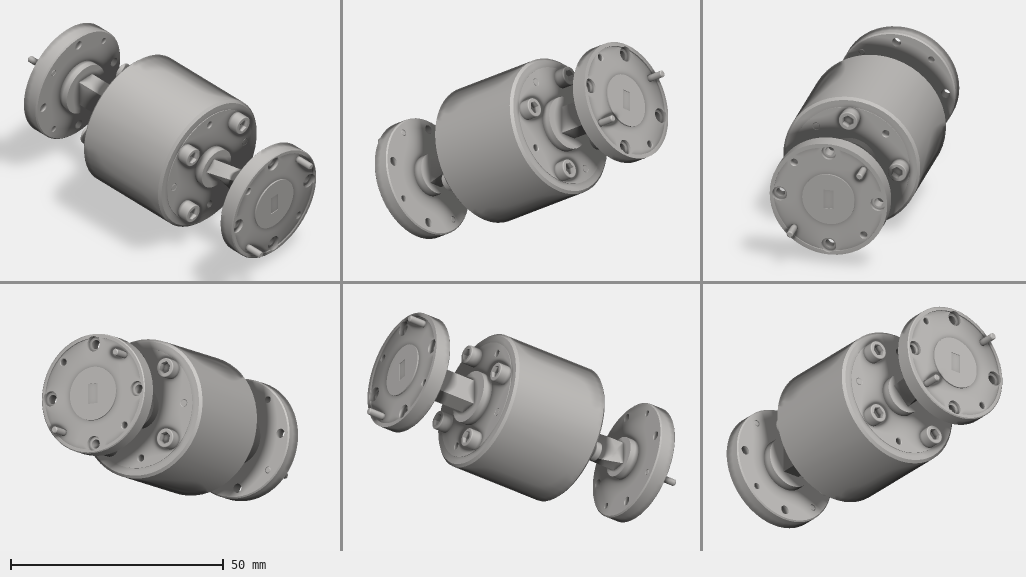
import cadquery as cq
import math

total_length = 75.9
mid_x = total_length / 2

housing_diameter = 33.25
housing_length = 25.4
housing_chamfer = 0.6

flange_diameter = 28.55
flange_thickness = 4.1
flange_chamfer = 0.3
inner_flange_proud = 0.15
bolt_circle_radius = 11.9

rim_inner_radius = 13.3
center_land_radius = 6.4
twist_end_mating_chamfer = 0.2
face_relief = 0.4
aperture_height = 4.8
aperture_width = 2.4
aperture_depth = 0.15

clearance_diameter = 2.2
counterbore_diameter = 3.6
counterbore_depth = 1.3

pin_diameter = 1.6
pin_projection = 3.8
pin_chamfer = 0.2
countersink = 0.15

screw_head_diameter = 4.55
screw_head_height = 2.9
screw_head_fillet = 0.2
socket_flats = 2.65
socket_depth = 1.8
socket_turn = 30.0

straight_collar_radius = 6.4
twist_collar_radius = 4.9
collar_length = 2.3
straight_tube_height = 6.7
straight_tube_width = 4.4
twist_tube_height = 5.9
twist_tube_width = 3.6
twist_angle = 45.0

outer_face_x = pin_projection
outer_back_x = outer_face_x + flange_thickness
housing_start_x = mid_x - housing_length / 2
inner_face_x = housing_start_x - inner_flange_proud
pin_length = pin_projection + flange_thickness
dowel_angles_135 = (135.0, 315.0)
dowel_angles_45 = (45.0, 225.0)
screw_angles = (0.0, 90.0, 180.0, 270.0)


def cylinder(start_x, length, radius):
    """Solid round bar along +X."""
    return cq.Workplane("YZ", origin=(start_x, 0, 0)).circle(radius).extrude(length)


def box_tube(start_x, length, height, width):
    """Rectangular bar along +X, its height along Z."""
    return cq.Workplane("YZ", origin=(start_x, 0, 0)).rect(width, height).extrude(length)


def on_bolt_circle(shape, angle):
    """Move an axial shape to the bolt circle; the angle turns from +Y towards +Z."""
    turn = math.radians(angle)
    return shape.translate((0, bolt_circle_radius * math.cos(turn), bolt_circle_radius * math.sin(turn)))


def to_far_end(shape):
    """Turn a shape of the -X end half a turn about the vertical mid axis, to the +X end."""
    return shape.rotate((mid_x, 0, 0), (mid_x, 0, 1), 180)


def countersink_cone(face_x):
    """Conical cutter that opens a dowel hole at a face that looks towards -X."""
    radius = pin_diameter / 2
    mouth = cq.Workplane("YZ", origin=(face_x, 0, 0)).circle(radius + countersink)
    return mouth.workplane(offset=countersink).circle(radius).loft()


def make_housing():
    """Chamfered round housing, recessed at both ends for the inner flanges."""
    body = cylinder(housing_start_x, housing_length, housing_diameter / 2)
    body = body.edges().chamfer(housing_chamfer)
    recess = cylinder(inner_face_x, flange_thickness, flange_diameter / 2)
    return body.cut(recess).cut(to_far_end(recess))


def make_outer_flange(mating_chamfer=0):
    """Flange at the -X end, its mating face towards -X and optionally chamfered."""
    flange = cylinder(outer_face_x, flange_thickness, flange_diameter / 2)
    flange = flange.faces(">X").edges().chamfer(flange_chamfer)
    if mating_chamfer > 0:
        flange = flange.faces("<X").edges().chamfer(mating_chamfer)

    relief = cq.Workplane("YZ", origin=(outer_face_x, 0, 0))
    relief = relief.circle(rim_inner_radius).circle(center_land_radius).extrude(face_relief)
    flange = flange.cut(relief)
    flange = flange.cut(box_tube(outer_face_x, aperture_depth, aperture_height, aperture_width))

    for angle in screw_angles:
        hole = cylinder(outer_face_x, flange_thickness, clearance_diameter / 2)
        hole = hole.union(cylinder(outer_face_x, counterbore_depth, counterbore_diameter / 2))
        flange = flange.cut(on_bolt_circle(hole, angle))

    for angle in dowel_angles_135 + dowel_angles_45:
        hole = cylinder(outer_face_x, flange_thickness, pin_diameter / 2)
        hole = hole.union(countersink_cone(outer_face_x + face_relief))
        flange = flange.cut(on_bolt_circle(hole, angle))
    return flange


def make_cap_screw_head():
    """Socket head standing on the inner flange, its socket open towards -X."""
    head_x = inner_face_x - screw_head_height
    head = cylinder(head_x, screw_head_height, screw_head_diameter / 2)
    head = head.faces("<X").edges().fillet(screw_head_fillet)
    socket_corners = socket_flats / math.cos(math.radians(socket_turn))
    socket = cq.Workplane("YZ", origin=(head_x, 0, 0)).transformed(rotate=(0, 0, socket_turn))
    socket = socket.polygon(6, socket_corners).extrude(socket_depth)
    return head.cut(socket)


def make_inner_flange():
    """Flange let into the -X end of the housing, with its screw heads and dowel holes."""
    flange = cylinder(inner_face_x, flange_thickness, flange_diameter / 2)
    for angle in screw_angles:
        flange = flange.union(on_bolt_circle(make_cap_screw_head(), angle))

    hole = cylinder(inner_face_x, flange_thickness, pin_diameter / 2)
    cone = countersink_cone(inner_face_x)
    for angle in dowel_angles_135:
        flange = flange.cut(on_bolt_circle(hole.union(cone), angle))
    for angle in dowel_angles_45:
        flange = flange.cut(on_bolt_circle(cone.cut(hole), angle))
    return flange


def make_collars(radius):
    """Round collars of the -X end: one behind the outer flange, one on the inner flange."""
    collars = cylinder(outer_back_x, collar_length, radius)
    return collars.union(cylinder(inner_face_x - collar_length, collar_length, radius))


def make_twist_tube():
    """Rectangular waveguide that turns from 45 degrees at the housing to upright."""
    start_x = total_length - inner_face_x + collar_length
    end_x = total_length - outer_back_x - collar_length
    section = cq.Workplane("YZ", origin=(start_x, 0, 0)).transformed(rotate=(0, 0, twist_angle))
    return section.rect(twist_tube_width, twist_tube_height).twistExtrude(end_x - start_x, -twist_angle)


def make_rotator():
    """Housing with both waveguides, all flanges and screw heads as one solid."""
    tube_length = inner_face_x - outer_back_x
    straight_tube = box_tube(outer_back_x, tube_length, straight_tube_height, straight_tube_width)

    body = make_housing().union(make_inner_flange())
    body = body.union(make_collars(straight_collar_radius)).union(straight_tube)
    body = body.union(make_outer_flange())

    twist_flange = to_far_end(make_inner_flange()).rotate((0, 0, 0), (1, 0, 0), twist_angle)
    body = body.union(twist_flange)
    body = body.union(to_far_end(make_collars(twist_collar_radius))).union(make_twist_tube())
    return body.union(to_far_end(make_outer_flange(twist_end_mating_chamfer)))


def make_pin(angle):
    """Dowel pin of the -X outer flange, chamfered at both ends and flush with the flange back."""
    pin = cylinder(0, pin_length, pin_diameter / 2)
    pin = pin.faces("<X or >X").edges().chamfer(pin_chamfer)
    return on_bolt_circle(pin, angle)


rotator = make_rotator()

pins = []
for pin_angle in dowel_angles_135:
    pins.append(make_pin(pin_angle))
    pins.append(to_far_end(make_pin(pin_angle)))

result = cq.Compound.makeCompound([rotator.val(), *[pin.val() for pin in pins]])